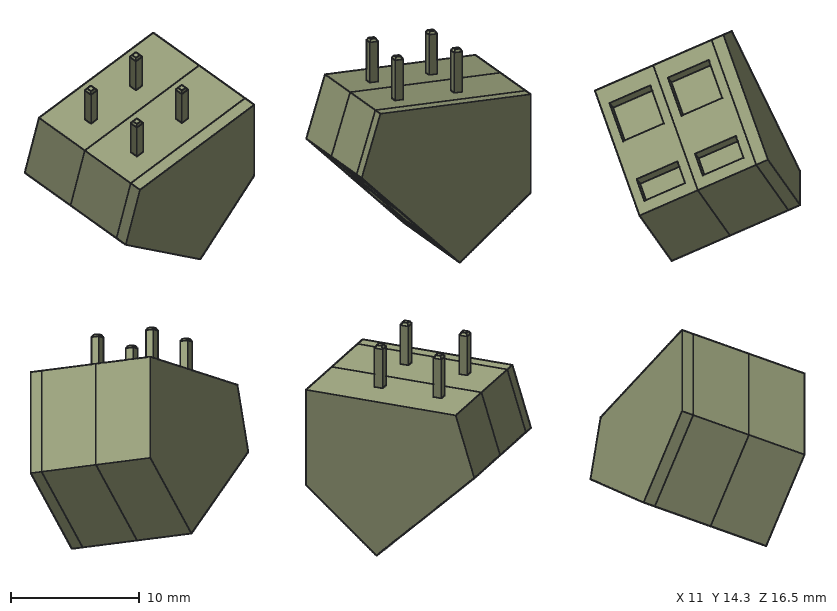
import cadquery as cq
import math


overall_height = 16.5
pin_length = 3.5
body_height = overall_height - pin_length
overall_depth = 14.3
top_depth = 12.72
front_corner_drop = 5.05
back_height = 8.04
keel_depth = 6.0

overall_width = 11.0
module_count = 2
module_pitch = 5.0
end_plate_width = overall_width - module_count * module_pitch

pin_width = 0.7
pin_offset_x = 3.0
pin_spacing_y = 5.0
pin_distances = (pin_spacing_y, 2 * pin_spacing_y)
pin_tip_height = 0.21
pin_tip_width = 0.43

pocket_width = 3.5
pocket_depth = 1.0
wire_pocket_height = 3.5
wire_pocket_margin = 1.5
tool_pocket_height = 2.0
tool_pocket_margin = 1.0

slope_run = overall_depth - keel_depth
slope_rise = body_height - front_corner_drop
slope_length = math.hypot(slope_run, slope_rise)


def make_slice(left, width):
    """Slice of the housing profile, extruded along X from its left side."""
    outline = [
        (0, 0),
        (-top_depth, 0),
        (-overall_depth, -front_corner_drop),
        (-keel_depth, -body_height),
        (0, -back_height),
    ]
    return cq.Workplane("YZ", origin=(left, 0, 0)).polyline(outline).close().extrude(width)


def make_pin(x, y):
    """Square pin standing on the top face, with a tapered tip."""
    shank_length = pin_length - pin_tip_height
    shank = (
        cq.Workplane("XY", origin=(x, y, 0))
        .rect(pin_width, pin_width)
        .extrude(shank_length)
    )
    tip = (
        cq.Workplane("XY", origin=(x, y, shank_length))
        .rect(pin_width, pin_width)
        .workplane(offset=pin_tip_height)
        .rect(pin_tip_width, pin_tip_width)
        .loft(ruled=True)
    )
    return shank.union(tip)


def make_pocket(left, distance_down, height):
    """Pocket cutter square to the entry face; distance_down starts at the front corner."""
    entry_plane = cq.Plane(
        origin=(left + module_pitch / 2, -overall_depth, -front_corner_drop),
        xDir=(1, 0, 0),
        normal=(0, -slope_rise, -slope_run),
    )
    return (
        cq.Workplane(entry_plane)
        .center(0, -distance_down - height / 2)
        .rect(pocket_width, height)
        .extrude(-pocket_depth)
    )


def make_module(left):
    """One pole: a housing slice with two pockets and two pins."""
    tool_pocket_start = slope_length - tool_pocket_margin - tool_pocket_height
    module = make_slice(left, module_pitch)
    module = module.cut(make_pocket(left, wire_pocket_margin, wire_pocket_height))
    module = module.cut(make_pocket(left, tool_pocket_start, tool_pocket_height))
    for distance in pin_distances:
        module = module.union(make_pin(left + pin_offset_x, -distance))
    return module


modules = []
for index in range(module_count):
    modules.append(make_module(index * module_pitch))

end_plate = make_slice(module_count * module_pitch, end_plate_width)

result = cq.Compound.makeCompound([*[module.val() for module in modules], end_plate.val()])